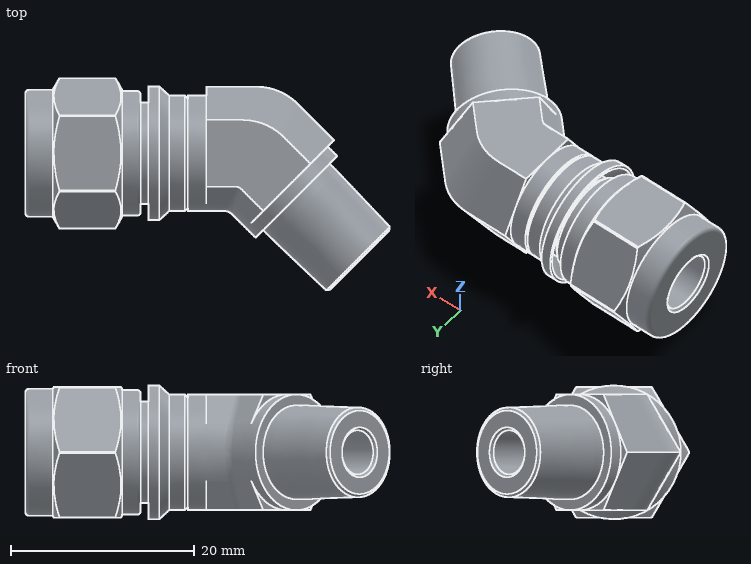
import cadquery as cq
import math

bend_angle = 45.0
bend_x = 24.85

nut_diameter = 13.9
nut_edge_radius = 0.48
hex_start = 3.03
hex_end = 10.6
hex_flats = 14.3
hex_corner_diameter = 16.4
hex_bevel_angle = 30.0
nut_tail_diameter = 13.6
nut_tail_end = 12.6
nut_tail_edge_radius = 0.4

neck_diameter = 11.1
neck_chamfer_start = 13.9
neck_relief_start = 14.4
neck_relief_diameter = 10.1
collar_diameter = 14.6
collar_start = 13.45
collar_mouth_diameter = 13.9
collar_cone_start = 14.65
collar_cone_end = 15.72
groove_start = 17.45
groove_width = 0.3

body_diameter = 12.6
elbow_start = 19.8
elbow_end = 5.25
outer_bend_radius = 7.35
inner_bend_radius = 1.0

flange_end = 6.73
thread_start = 8.0
outlet_end = 16.5
outlet_base_diameter = 10.27
thread_tip_diameter = 9.85
outlet_tip_diameter = 9.1
outlet_tip_chamfer_length = 0.25

bore_diameter = 4.8
tube_socket_diameter = 6.55
tube_socket_depth = 15.13
bore_chamfer = 0.3

bend = math.radians(bend_angle)
half_bend = bend / 2
body_radius = body_diameter / 2
hex_corner_radius = hex_corner_diameter / 2


def outlet_point(distance):
    """Point on the outlet axis at a distance from the bend."""
    return (bend_x + distance * math.cos(bend), -distance * math.sin(bend))


def along_outlet(solid):
    """Move a solid built along +X from the origin onto the outlet axis."""
    return solid.rotate((0, 0, 0), (0, 0, 1), -bend_angle).translate((bend_x, 0, 0))


def turned(profile):
    """Revolve (station, radius) points about the X axis; the profile closes along the axis."""
    axis_points = [(profile[-1][0], 0), (profile[0][0], 0)]
    outline = cq.Workplane("XY").polyline(profile + axis_points).close()
    return outline.revolve(360, (0, 0, 0), (1, 0, 0))


def mitred_path(start_x, end_distance):
    """Path along the tube axis, then along the outlet axis."""
    return cq.Workplane("XY").polyline([(start_x, 0), (bend_x, 0), outlet_point(end_distance)])


def make_nut():
    barrel = turned([(0, nut_diameter / 2), (hex_start, nut_diameter / 2)])
    barrel = barrel.faces("<X").edges().fillet(nut_edge_radius)

    tail_radius = nut_tail_diameter / 2
    tail = turned([(hex_start, tail_radius), (nut_tail_end, tail_radius)])
    tail = tail.faces(">X").edges().fillet(nut_tail_edge_radius)

    hexagon = (
        cq.Workplane("YZ", origin=(hex_start, 0, 0))
        .polygon(6, 2 * hex_flats / math.sqrt(3))
        .extrude(hex_end - hex_start)
    )
    bevel_foot_radius = nut_diameter / 2
    bevel_length = (hex_corner_radius - bevel_foot_radius) * math.tan(math.radians(hex_bevel_angle))
    bevels = turned([
        (hex_start, bevel_foot_radius),
        (hex_start + bevel_length, hex_corner_radius),
        (hex_end - bevel_length, hex_corner_radius),
        (hex_end, bevel_foot_radius),
    ])
    return barrel.union(tail).union(hexagon.intersect(bevels))


def make_neck():
    collar_radius = collar_diameter / 2
    mouth_radius = collar_mouth_diameter / 2
    relief_radius = neck_relief_diameter / 2
    recess_bottom = collar_start + mouth_radius - relief_radius
    groove_end = groove_start + groove_width
    return turned([
        (hex_start, neck_diameter / 2),
        (neck_chamfer_start, neck_diameter / 2),
        (neck_relief_start, relief_radius),
        (recess_bottom, relief_radius),
        (collar_start, mouth_radius),
        (collar_start, collar_radius),
        (collar_cone_start, collar_radius),
        (collar_cone_end, body_radius),
        (groove_start, body_radius),
        (groove_end, body_radius - groove_width),
        (groove_end, body_radius),
        (elbow_start, body_radius),
    ])


def make_elbow():
    corner_radius = body_diameter / math.sqrt(3)
    flat_half_width = corner_radius / 2
    tangent_y = -body_radius * math.cos(math.pi / 6)
    tangent_z = body_radius * math.sin(math.pi / 6)

    half = (
        cq.Workplane("YZ", origin=(elbow_start, 0, 0))
        .moveTo(corner_radius, 0)
        .lineTo(flat_half_width, body_radius)
        .lineTo(-flat_half_width, body_radius)
        .lineTo(tangent_y, tangent_z)
        .radiusArc((-body_radius, 0), -body_radius)
        .close()
        .sweep(mitred_path(elbow_start, elbow_end), transition="right")
    )

    def mitre_edge(y, z):
        """Selector for the edge on the mitre plane nearest to height z and offset y."""
        return cq.selectors.NearestToPointSelector((bend_x + y * math.tan(half_bend), y, z))

    outer_edge = mitre_edge((corner_radius + flat_half_width) / 2, body_radius / 2)
    half = half.edges(outer_edge).fillet(outer_bend_radius)
    inner_edge = mitre_edge((tangent_y - flat_half_width) / 2, (body_radius + tangent_z) / 2)
    half = half.edges(inner_edge).fillet(inner_bend_radius)
    return half.union(half.mirror("XY"))


def make_outlet():
    outlet = turned([
        (elbow_end, body_radius),
        (flange_end, body_radius),
        (flange_end, outlet_base_diameter / 2),
        (thread_start, outlet_base_diameter / 2),
        (outlet_end - outlet_tip_chamfer_length, thread_tip_diameter / 2),
        (outlet_end, outlet_tip_diameter / 2),
    ])
    return along_outlet(outlet)


def make_bores():
    bore_radius = bore_diameter / 2
    socket_radius = tube_socket_diameter / 2
    through_bore = (
        cq.Workplane("YZ")
        .circle(bore_radius)
        .sweep(mitred_path(0, outlet_end), transition="right")
    )
    socket = turned([
        (0, socket_radius + bore_chamfer),
        (bore_chamfer, socket_radius),
        (tube_socket_depth, socket_radius),
    ])
    outlet_mouth = turned([
        (outlet_end - bore_chamfer, bore_radius),
        (outlet_end, bore_radius + bore_chamfer),
    ])
    return through_bore.union(socket).union(along_outlet(outlet_mouth))


fitting = make_nut().union(make_neck()).union(make_elbow()).union(make_outlet())
result = fitting.cut(make_bores())